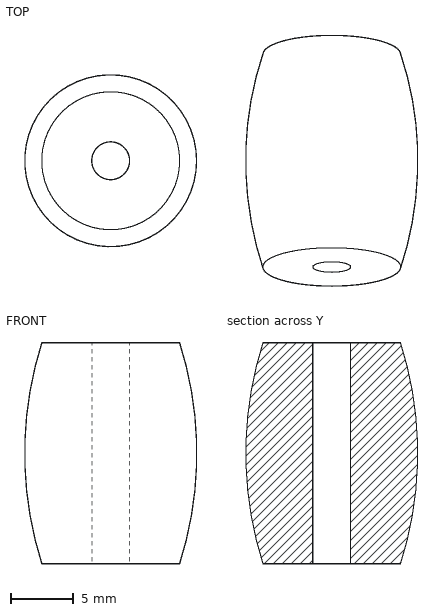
import cadquery as cq

height = 17.64
end_diameter = 11.0
middle_diameter = 13.75
bore_diameter = 3.0

end_radius = end_diameter / 2
middle_radius = middle_diameter / 2
bore_radius = bore_diameter / 2


def half_section():
    """Radial half section of the bead: straight bore inside, bulging arc outside."""
    return (
        cq.Workplane("XZ")
        .moveTo(bore_radius, 0)
        .lineTo(end_radius, 0)
        .threePointArc((middle_radius, height / 2), (end_radius, height))
        .lineTo(bore_radius, height)
        .close()
    )


def barrel_bead():
    """Barrel body with a through bore, revolved about the Z axis."""
    return half_section().revolve(360, (0, 0, 0), (0, 1, 0))


result = barrel_bead()